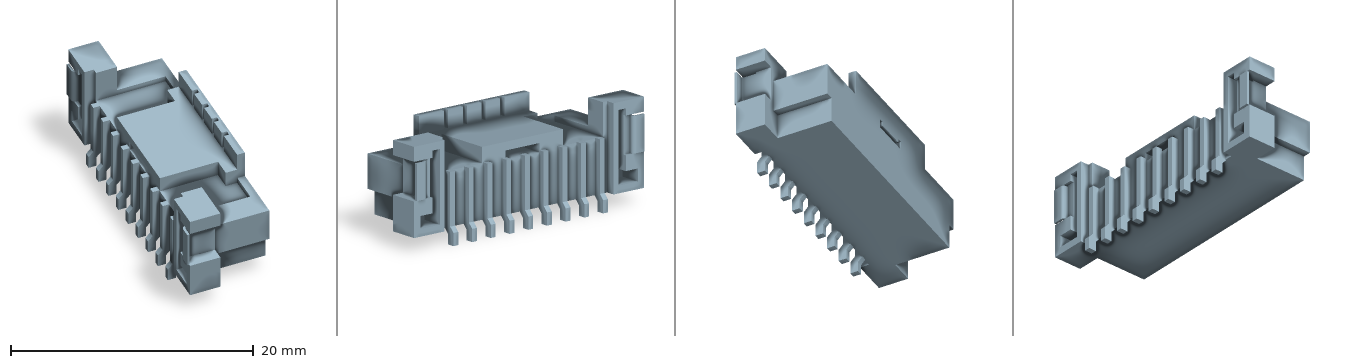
import cadquery as cq


OVERALL_LENGTH = 24.6
OVERALL_HEIGHT = 9.15
HOUSING_HEIGHT = 7.8
BODY_DEPTH = 6.95
BODY_HALF_LENGTH = 10.85
LEDGE_HEIGHT = 2.31
LEDGE_STEP = 0.75
SHOULDER_HEIGHT = 5.35

RECESS_FLOOR = 4.82
RECESS_HALF_LENGTH = 8.55
BACK_WALL = 0.7

COVER_HEIGHT = 6.22
COVER_HALF_LENGTH = 4.33
RIB_HALF_LENGTH = 5.9
RIB_FOOT_DEPTH = 1.72
GROOVE_WIDTH = 0.45
GROOVE_DEPTH = 0.47
GROOVE_COUNT = 4

WINDOW_HALF_LENGTH = 1.82
WINDOW_BOTTOM = 4.67
WINDOW_TOP = 5.49
TONGUE_HALF_LENGTH = 1.38
TONGUE_HEIGHT = 0.37
TONGUE_CHAMFER = 0.1

PIN_COUNT = 9
PITCH = 2.0
PIN_WIDTH = 0.52
PIN_TOP = 4.9
PIN_BOTTOM = HOUSING_HEIGHT - OVERALL_HEIGHT
PIN_FRONT = 7.58
PIN_THICKNESS = 0.71
TAIL_FRONT = 8.0
FRONT_BEND_TOP = 0.22
BEND_DROP = 0.45

EAR_BACK = 5.07
EAR_FRONT = 7.8
EAR_INNER = 9.03
EAR_OUTER = OVERALL_LENGTH / 2

POCKET_INNER = 9.55
POCKET_STEM_OUTER = 10.33
POCKET_FOOT_OUTER = 11.6
POCKET_BOTTOM = 0.66
POCKET_FOOT_TOP = 1.77
POCKET_TOP = 7.13
POCKET_DEPTH = 1.97

SLOT_BOTTOM = 3.12
SLOT_TOP = 6.52
SLOT_WALL = 11.22
SLOT_WALL_FRONT = 7.48

CLIP_THICKNESS = 0.22
CLIP_BOTTOM = 3.17
CLIP_TOP = 6.37
CLIP_BACK = 6.47
CLIP_FRONT = 8.0
CLIP_OUTER = 12.18
CLIP_BEND_RADIUS = 0.35
CLIP_INNER = SLOT_WALL - CLIP_THICKNESS


def block(x0, x1, depth0, depth1, z0, z1):
    """Box between two X values, two depths from the back face and two heights."""
    box = cq.Workplane("XY").box(x1 - x0, depth1 - depth0, z1 - z0, centered=False)
    return box.translate((x0, -depth1, z0))


def centred_block(half_length, depth0, depth1, z0, z1):
    return block(-half_length, half_length, depth0, depth1, z0, z1)


def row(count):
    """X places of evenly pitched items centred on X = 0."""
    return [(i - (count - 1) / 2) * PITCH for i in range(count)]


def make_body():
    body = centred_block(BODY_HALF_LENGTH - LEDGE_STEP, 0, BODY_DEPTH, 0, SHOULDER_HEIGHT)
    body = body.union(centred_block(BODY_HALF_LENGTH, 0, BODY_DEPTH, LEDGE_HEIGHT, SHOULDER_HEIGHT))
    return body.cut(
        centred_block(RECESS_HALF_LENGTH, BACK_WALL, BODY_DEPTH, RECESS_FLOOR, SHOULDER_HEIGHT)
    )


def make_cover():
    cover = centred_block(COVER_HALF_LENGTH, 0, BODY_DEPTH, RECESS_FLOOR, COVER_HEIGHT)
    foot = centred_block(RIB_HALF_LENGTH, 0, RIB_FOOT_DEPTH, RECESS_FLOOR, COVER_HEIGHT)
    rib = centred_block(RIB_HALF_LENGTH, 0, BACK_WALL, COVER_HEIGHT, HOUSING_HEIGHT)
    for x in row(GROOVE_COUNT):
        rib = rib.cut(
            block(
                x - GROOVE_WIDTH / 2, x + GROOVE_WIDTH / 2,
                BACK_WALL - GROOVE_DEPTH, BACK_WALL,
                COVER_HEIGHT, HOUSING_HEIGHT,
            )
        )
    return cover.union(foot).union(rib)


def make_window():
    """Opening through the housing, less the tongue along the back of its top edge."""
    opening = centred_block(WINDOW_HALF_LENGTH, 0, BODY_DEPTH, WINDOW_BOTTOM, WINDOW_TOP)
    tongue = centred_block(
        TONGUE_HALF_LENGTH, 0, BACK_WALL, WINDOW_TOP - TONGUE_HEIGHT, WINDOW_TOP
    )
    tongue = tongue.faces("<Z").edges("|Y").chamfer(TONGUE_CHAMFER)
    return opening.cut(tongue)


def make_pin(x):
    """Upright pin lying on the front face, with its tail offset forward below the housing."""
    outline = [
        (-PIN_FRONT, PIN_TOP),
        (-PIN_FRONT, FRONT_BEND_TOP),
        (-TAIL_FRONT, FRONT_BEND_TOP - BEND_DROP),
        (-TAIL_FRONT, PIN_BOTTOM),
        (PIN_THICKNESS - TAIL_FRONT, PIN_BOTTOM),
        (PIN_THICKNESS - TAIL_FRONT, -BEND_DROP),
        (PIN_THICKNESS - PIN_FRONT, 0),
        (-BODY_DEPTH, 0),
        (-BODY_DEPTH, PIN_TOP),
    ]
    pin = cq.Workplane("YZ").polyline(outline).close().extrude(PIN_WIDTH / 2, both=True)
    return pin.translate((x, 0, 0))


def make_ear():
    """Ear at the +X end."""
    ear = block(EAR_INNER, EAR_OUTER, EAR_BACK, EAR_FRONT, 0, HOUSING_HEIGHT)
    return ear.union(
        block(RECESS_HALF_LENGTH, EAR_INNER, EAR_BACK, BODY_DEPTH, 0, HOUSING_HEIGHT)
    )


def make_ear_pocket():
    """L-shaped pocket that opens in the front of the ear and runs back into the body."""
    pocket_back = EAR_FRONT - POCKET_DEPTH
    stem = block(
        POCKET_INNER, POCKET_STEM_OUTER, pocket_back, EAR_FRONT, POCKET_BOTTOM, POCKET_TOP
    )
    foot = block(
        POCKET_INNER, POCKET_FOOT_OUTER, pocket_back, EAR_FRONT, POCKET_BOTTOM, POCKET_FOOT_TOP
    )
    return stem.union(foot)


def make_ear_slot():
    """Side slot, stepped inward for the clip and across the front of the wall."""
    slot = block(SLOT_WALL, EAR_OUTER, EAR_BACK, EAR_FRONT, SLOT_BOTTOM, SLOT_TOP)
    clip_seat = block(CLIP_INNER, EAR_OUTER, CLIP_BACK, EAR_FRONT, SLOT_BOTTOM, SLOT_TOP)
    wall_relief = block(
        POCKET_STEM_OUTER, EAR_OUTER, SLOT_WALL_FRONT, EAR_FRONT, SLOT_BOTTOM, SLOT_TOP
    )
    return slot.union(clip_seat).union(wall_relief)


def make_clip():
    """Bent strip: a leg seated on the slot wall and a flange across the front."""
    height = CLIP_TOP - CLIP_BOTTOM
    leg_and_flange = (
        cq.Workplane("XY")
        .moveTo(CLIP_INNER, -CLIP_BACK)
        .lineTo(CLIP_INNER, CLIP_BEND_RADIUS - CLIP_FRONT)
        .radiusArc((CLIP_INNER + CLIP_BEND_RADIUS, -CLIP_FRONT), -CLIP_BEND_RADIUS)
        .lineTo(CLIP_OUTER, -CLIP_FRONT)
        .lineTo(CLIP_OUTER, CLIP_THICKNESS - CLIP_FRONT)
        .lineTo(CLIP_INNER + CLIP_BEND_RADIUS, CLIP_THICKNESS - CLIP_FRONT)
        .radiusArc((SLOT_WALL, CLIP_BEND_RADIUS - CLIP_FRONT), CLIP_BEND_RADIUS - CLIP_THICKNESS)
        .lineTo(SLOT_WALL, -CLIP_BACK)
        .close()
        .extrude(height)
    )
    return leg_and_flange.translate((0, 0, CLIP_BOTTOM))


def on_both_ends(shape):
    """The +X shape together with its mirror image at the -X end."""
    return shape.union(shape.mirror("YZ"))


result = make_body().union(make_cover()).cut(make_window())
result = result.union(on_both_ends(make_ear()))
result = result.cut(on_both_ends(make_ear_pocket().union(make_ear_slot())))
result = result.union(on_both_ends(make_clip()))
for pin_x in row(PIN_COUNT):
    result = result.union(make_pin(pin_x))